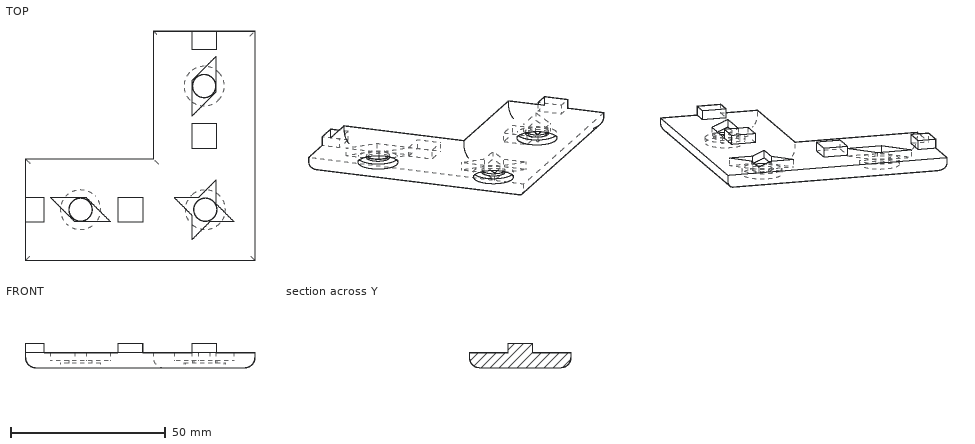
import cadquery as cq

side = 74.5
leg_width = 33.0
plate_height = 5.0
edge_radius = 3.4
leg_middle = leg_width / 2

post_height = 3.0
post_size = 8.05
end_post_length = 6.0
inner_post_distance = 34.05

pocket_length = 19.4
pocket_width = 7.8
pocket_depth = 2.5
pocket_distance = 17.9
hole_diameter = 7.45
recess_diameter = 13.0
rim_thickness = 0.75
recess_depth = plate_height - pocket_depth - rim_thickness
corner_hole_offset = 0.4

x_leg_y = leg_middle
y_leg_x = side - leg_middle


def make_plate():
    """L-shaped plate with its bottom edges rounded."""
    outline = [
        (0, 0),
        (side, 0),
        (side, side),
        (side - leg_width, side),
        (side - leg_width, leg_width),
        (0, leg_width),
    ]
    plate = cq.Workplane("XY").polyline(outline).close().extrude(plate_height)
    return plate.faces("<Z").edges().fillet(edge_radius)


def make_post(center, length_x, length_y):
    """Rectangular post standing on the plate."""
    base = cq.Workplane("XY", origin=(0, 0, plate_height))
    return base.center(*center).rect(length_x, length_y).extrude(post_height)


def make_pocket(center, along_y):
    """Parallelogram pocket with 45 degree ends, turned a quarter turn when along_y."""
    half_length = pocket_length / 2
    half_width = pocket_width / 2
    corners = [
        (-half_length, half_width),
        (half_length - pocket_width, half_width),
        (half_length, -half_width),
        (pocket_width - half_length, -half_width),
    ]
    if along_y:
        corners = [(y, -x) for x, y in corners]
    top = cq.Workplane("XY", origin=(0, 0, plate_height))
    return top.center(*center).polyline(corners).close().extrude(-pocket_depth)


def make_hole(center):
    """Through hole with a counterbore in the plate's underside."""
    bottom = cq.Workplane("XY").center(*center)
    hole = bottom.circle(hole_diameter / 2).extrude(plate_height)
    recess = bottom.circle(recess_diameter / 2).extrude(recess_depth)
    return hole.union(recess)


result = make_plate()

posts = [
    ((end_post_length / 2, x_leg_y), end_post_length, post_size),
    ((inner_post_distance, x_leg_y), post_size, post_size),
    ((y_leg_x, side - end_post_length / 2), post_size, end_post_length),
    ((y_leg_x, side - inner_post_distance), post_size, post_size),
]
for center, length_x, length_y in posts:
    result = result.union(make_post(center, length_x, length_y))

x_leg_pocket = (pocket_distance, x_leg_y)
y_leg_pocket = (y_leg_x, side - pocket_distance)
corner_pocket = (y_leg_x, x_leg_y)
pockets = [
    (x_leg_pocket, False),
    (y_leg_pocket, True),
    (corner_pocket, False),
    (corner_pocket, True),
]
for center, along_y in pockets:
    result = result.cut(make_pocket(center, along_y))

corner_hole = (y_leg_x + corner_hole_offset, x_leg_y)
for center in (x_leg_pocket, y_leg_pocket, corner_hole):
    result = result.cut(make_hole(center))